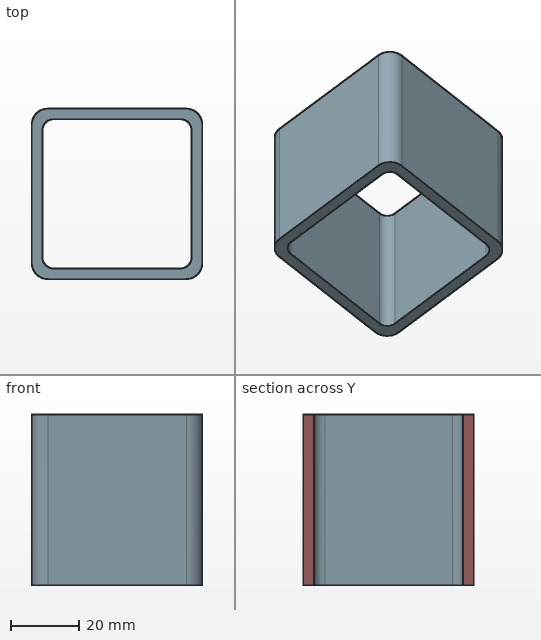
import cadquery as cq

side = 50.0
height = side
wall = 3.2
outer_radius = 4.8
inner_radius = 3.2


def rounded_block(width, corner_radius):
    """Square block with rounded vertical edges, standing on the XY plane."""
    block = cq.Workplane("XY").rect(width, width).extrude(height)
    return block.edges("|Z").fillet(corner_radius)


outer_body = rounded_block(side, outer_radius)
bore = rounded_block(side - 2 * wall, inner_radius)

result = outer_body.cut(bore)